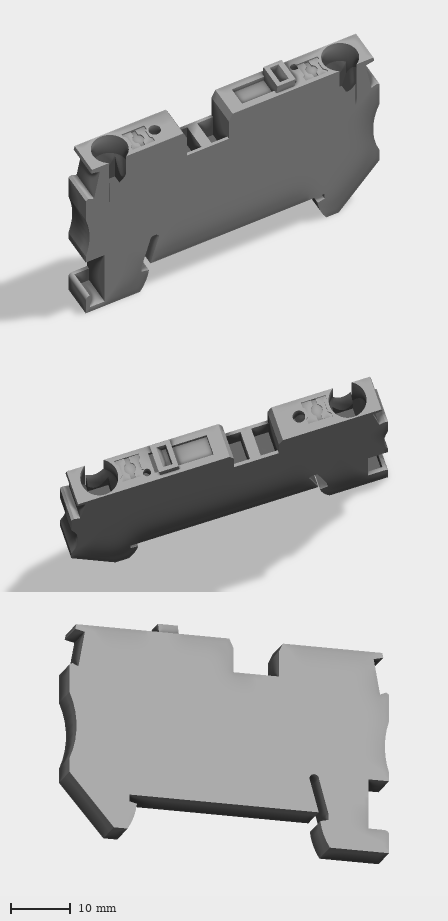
import cadquery as cq
import math


length = 55.9
thickness = 6.15
housing_top = 35.2
half_length = length / 2
half_thickness = thickness / 2

lip_top_y = 26.8
lip_tip_y = 26.95
lip_tip_z = 34.4
groove_top_y = 25.25
groove_top_z = 34.0
groove_bottom_y = 26.4
groove_bottom_z = 27.85
ridge_y = 27.45
ridge_z = 28.3
shoulder_z = 28.0

rear_grip = (23.15, 11.5, 1.25)
front_grip = (23.25, 14.2, 0.7)

notch_rear_y = -0.7
notch_front_y = -8.65
notch_floor_z = 29.35
notch_bevel_z = 33.65
notch_bevel_width = 0.7

seat_z = 6.05
hook_z = 4.85
hook_rear_y = 17.5
hook_tip_z = 4.5
hook_tip_rear_y = 16.15
foot_rear_inner_y = 17.8
foot_rear_outer_y = 20.2
rear_slope_z = 9.05
foot_hook_front_y = -17.35
hook_tip_front_y = -15.95
foot_front_inner_y = -17.6
foot_arc_bulge = 0.3

flex_slot_mouth_y = -15.65
flex_slot_top_y = -14.85
flex_slot_center_z = 11.85
flex_slot_radius = 0.85

tool_recess_y = -24.4
tool_recess_top_z = 12.7
tool_recess_bottom_z = 4.0
tool_recess_rounding = 0.8
tool_pocket_front_y = -half_length + tool_recess_rounding
tool_pocket_wall = 0.65
tool_pocket_floor_z = 1.1

entry_x = 0.35
entry_radius = 3.2
entry_offset_y = 21.9
well_depth = 4.45
funnel_depth = 5.6
funnel_end_radius = 1.4
shaft_x = 0.05
shaft_width = 3.8
shaft_length = 3.65
shaft_offset_y = 21.6

label_x = 0.35
label_width = 3.9
label_length = 4.3
label_depth = 0.3
label_step = 0.3
label_band = 0.85
label_disc_radius = 1.0
label_offset_y = 16.5
entry_tab_half_width = 1.4
entry_tab_tip_half_width = 0.9
entry_tab_height = 0.5
far_tab_half_width = 1.05
far_tab_tip_half_width = 0.8
far_tab_height = 0.35

test_hole_x = 0.085
test_hole_y = -13.25
test_hole_radius = 1.05
test_hole_depth = 3.35
test_hole_flat = 0.65
test_hole_rise = 2.25
pilot_x = -1.35
pilot_y = 14.05
pilot_radius = 0.65
pilot_depth = 2.8
pilot_rise = 1.4

track_width = 3.65
track_rear_y = 12.8
track_front_y = 2.45
track_depth = 0.9
plug_width = 5.0
plug_top = 36.85
plug_rear_y = 12.3
plug_front_y = 8.85
plug_lean = 0.12
window_rear_y = 11.35
window_front_y = 9.65
window_floor_rear_y = 10.4
window_depth = 2.25

pocket_width = 5.05
pocket_length = 3.0
pocket_depth = 4.45


def box(x_center, y_center, width, depth_y, z_bottom, z_top):
    return (
        cq.Workplane("XY", origin=(x_center, y_center, z_bottom))
        .rect(width, depth_y)
        .extrude(z_top - z_bottom)
    )


def cylinder(x, y, radius, z_bottom, z_top):
    return cq.Workplane("XY", origin=(x, y, z_bottom)).circle(radius).extrude(z_top - z_bottom)


def prism_across(points, width, x_center=0.0):
    """Extrude a YZ outline symmetrically about x_center."""
    plane = cq.Workplane("YZ", origin=(x_center, 0, 0))
    return plane.polyline(points).close().extrude(width / 2, both=True)


def arc_middle(start, end, bulge):
    """Middle point of an arc, offset to the right of the direction start to end."""
    dy = end[0] - start[0]
    dz = end[1] - start[1]
    chord = math.hypot(dy, dz)
    return (
        (start[0] + end[0]) / 2 + bulge * dz / chord,
        (start[1] + end[1]) / 2 - bulge * dy / chord,
    )


def lip_and_groove(end):
    """Points of one end from the lip down to the shoulder; end is +1 or -1."""
    return [
        (end * lip_top_y, housing_top),
        (end * lip_tip_y, lip_tip_z),
        (end * groove_top_y, groove_top_z),
        (end * groove_bottom_y, groove_bottom_z),
        (end * ridge_y, ridge_z),
        (end * half_length, shoulder_z),
    ]


def make_housing():
    outline = cq.Workplane("YZ", origin=(-half_thickness, 0, 0))

    outline = outline.polyline(
        [
            (notch_front_y - notch_bevel_width, housing_top),
            (notch_front_y, notch_bevel_z),
            (notch_front_y, notch_floor_z),
            (notch_rear_y, notch_floor_z),
            (notch_rear_y, notch_bevel_z),
            (notch_rear_y + notch_bevel_width, housing_top),
        ]
        + lip_and_groove(1)
    )
    upper_z, lower_z, depth = rear_grip
    outline = outline.lineTo(half_length, upper_z).threePointArc(
        (half_length - depth, (upper_z + lower_z) / 2), (half_length, lower_z)
    )

    toe = (foot_rear_inner_y, 0)
    hook_tip = (hook_tip_rear_y, hook_tip_z)
    outline = (
        outline.lineTo(half_length, rear_slope_z)
        .lineTo(foot_rear_outer_y, 0)
        .lineTo(*toe)
        .threePointArc(arc_middle(toe, hook_tip, -foot_arc_bulge), hook_tip)
        .lineTo(hook_rear_y, hook_z)
        .lineTo(hook_rear_y, seat_z)
        .lineTo(flex_slot_mouth_y, seat_z)
    )

    slot_inner = (flex_slot_top_y + flex_slot_radius, flex_slot_center_z)
    slot_outer = (flex_slot_top_y - flex_slot_radius, flex_slot_center_z)
    slot_crown = (flex_slot_top_y, flex_slot_center_z + flex_slot_radius)
    toe = (foot_front_inner_y, 0)
    hook_tip = (hook_tip_front_y, hook_tip_z)
    outline = (
        outline.lineTo(*slot_inner)
        .threePointArc(slot_crown, slot_outer)
        .lineTo(foot_hook_front_y, seat_z)
        .lineTo(foot_hook_front_y, hook_z)
        .lineTo(*hook_tip)
        .threePointArc(arc_middle(hook_tip, toe, -foot_arc_bulge), toe)
        .lineTo(-half_length, 0)
    )

    upper_z, lower_z, depth = front_grip
    outline = (
        outline.lineTo(-half_length, tool_recess_bottom_z - tool_recess_rounding)
        .radiusArc((-half_length + tool_recess_rounding, tool_recess_bottom_z), tool_recess_rounding)
        .lineTo(tool_recess_y, tool_recess_bottom_z)
        .lineTo(tool_recess_y, tool_recess_top_z)
        .lineTo(-half_length, tool_recess_top_z)
        .lineTo(-half_length, lower_z)
        .threePointArc((-half_length + depth, (upper_z + lower_z) / 2), (-half_length, upper_z))
    )
    for point in reversed(lip_and_groove(-1)):
        outline = outline.lineTo(*point)
    return outline.close().extrude(thickness)


def tool_pocket():
    """Pocket sunk into the front foot, open toward +X."""
    width = thickness - tool_pocket_wall
    return box(
        half_thickness - width / 2,
        (tool_recess_y + tool_pocket_front_y) / 2,
        width,
        tool_recess_y - tool_pocket_front_y,
        tool_pocket_floor_z,
        tool_recess_bottom_z,
    )


def wire_entry(end):
    """Wire entry whose funnel is flat toward its end; end is +1 (rear) or -1 (front)."""
    entry_y = end * entry_offset_y
    shaft_y = end * shaft_offset_y
    well_floor = housing_top - well_depth
    funnel_floor = well_floor - funnel_depth
    well = cylinder(entry_x, entry_y, entry_radius, well_floor, housing_top)
    funnel = (
        cq.Workplane("XY", origin=(entry_x, entry_y, well_floor))
        .circle(entry_radius)
        .workplane(offset=-funnel_depth)
        .circle(funnel_end_radius)
        .loft()
    )
    shaft = box(shaft_x, shaft_y, shaft_width, shaft_length, funnel_floor, housing_top)

    shaft_edge_y = shaft_y + end * shaft_length / 2
    rim_y = entry_y + end * entry_radius
    slope_left_x = shaft_x - shaft_width / 2
    slope_width = half_thickness - slope_left_x
    outer_slope = prism_across(
        [(shaft_edge_y, well_floor), (rim_y, well_floor), (shaft_edge_y, funnel_floor)],
        slope_width,
        slope_left_x + slope_width / 2,
    ).intersect(cylinder(entry_x, entry_y, entry_radius, funnel_floor, well_floor))
    return well.union(funnel).union(shaft).union(outer_slope)


def label_tab(edge_y, inward, half_width, tip_half_width, height):
    """Raised trapezoid left standing on one short edge of a label recess."""
    tip_y = edge_y + inward * height
    return (
        cq.Workplane("XY", origin=(label_x, 0, housing_top - label_depth))
        .polyline(
            [
                (-half_width, edge_y),
                (half_width, edge_y),
                (tip_half_width, tip_y),
                (-tip_half_width, tip_y),
            ]
        )
        .close()
        .extrude(label_depth)
    )


def label_recess(end):
    """Recess with a deeper band and disc, inboard of the wire entry at the same end."""
    label_y = end * label_offset_y
    floor = housing_top - label_depth
    recess = box(label_x, label_y, label_width, label_length, floor, housing_top)
    entry_edge = label_y + end * label_length / 2
    far_edge = label_y - end * label_length / 2
    recess = recess.cut(
        label_tab(entry_edge, -end, entry_tab_half_width, entry_tab_tip_half_width, entry_tab_height)
    )
    recess = recess.cut(
        label_tab(far_edge, end, far_tab_half_width, far_tab_tip_half_width, far_tab_height)
    )
    band = box(label_x, label_y, label_width, label_band, floor - label_step, floor)
    disc = cylinder(label_x, label_y, label_disc_radius, floor - label_step, floor)
    return recess.union(band).union(disc)


def sloped_hole(x, y, radius, depth, slope_start_y, slope_end_y, rise):
    """Blind round hole whose floor rises from slope_start_y to slope_end_y."""
    floor = housing_top - depth
    ramp = prism_across(
        [(slope_start_y, floor), (slope_end_y, floor), (slope_end_y, floor + rise)],
        2 * radius,
        x,
    )
    return cylinder(x, y, radius, floor, housing_top).cut(ramp)


def plug_section(z_bottom, z_top, width):
    """Slice of the plug, whose rear and front faces lean toward -Y going down."""
    top_shift = plug_lean * (plug_top - z_top)
    bottom_shift = plug_lean * (plug_top - z_bottom)
    return prism_across(
        [
            (plug_rear_y - top_shift, z_top),
            (plug_front_y - top_shift, z_top),
            (plug_front_y - bottom_shift, z_bottom),
            (plug_rear_y - bottom_shift, z_bottom),
        ],
        width,
    )


def make_plug():
    head = plug_section(housing_top, plug_top, plug_width)
    stem = plug_section(housing_top - track_depth, housing_top, track_width)
    return head.union(stem)


def plug_window():
    floor = plug_top - window_depth
    return prism_across(
        [
            (window_rear_y, plug_top),
            (window_front_y, plug_top),
            (window_front_y, floor),
            (window_floor_rear_y, floor),
        ],
        track_width,
    )


result = make_housing()

result = result.cut(tool_pocket())

for end_sign in (1, -1):
    result = result.cut(wire_entry(end_sign))
    result = result.cut(label_recess(end_sign))

result = result.cut(
    sloped_hole(
        test_hole_x,
        test_hole_y,
        test_hole_radius,
        test_hole_depth,
        test_hole_y + test_hole_radius - test_hole_flat,
        test_hole_y - test_hole_radius,
        test_hole_rise,
    )
)
result = result.cut(
    sloped_hole(
        pilot_x,
        pilot_y,
        pilot_radius,
        pilot_depth,
        pilot_y - pilot_radius,
        pilot_y + pilot_radius,
        pilot_rise,
    )
)

for pocket_y in (notch_rear_y - pocket_length / 2, notch_front_y + pocket_length / 2):
    pocket = box(0, pocket_y, pocket_width, pocket_length, notch_floor_z - pocket_depth, notch_floor_z)
    result = result.cut(pocket)

track = box(
    0,
    (track_rear_y + track_front_y) / 2,
    track_width,
    track_rear_y - track_front_y,
    housing_top - track_depth,
    housing_top,
)
result = result.cut(track).union(make_plug()).cut(plug_window())